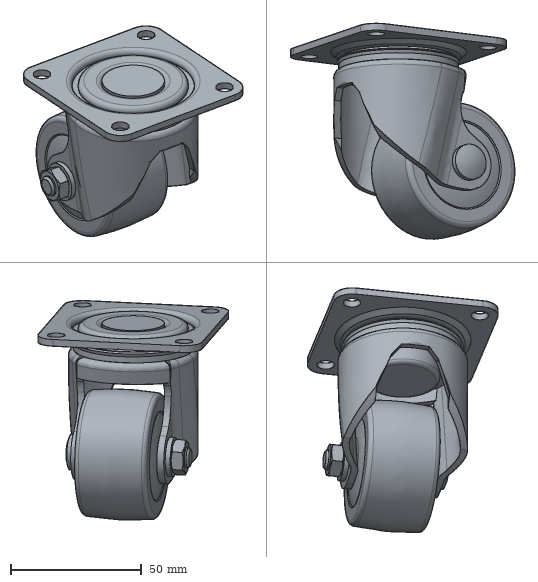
import cadquery as cq
import math

OVERALL_LENGTH = 77.0
OVERALL_HEIGHT = 72.0
PLATE_SIDE = 64.0
WHEEL_RADIUS = 25.0
AXLE_X = PLATE_SIDE / 2 + WHEEL_RADIUS - OVERALL_LENGTH
AXLE_Z = WHEEL_RADIUS - OVERALL_HEIGHT

PLATE_THICKNESS = 2.7
PLATE_CORNER_RADIUS = 7.15
BOLT_HOLE_PITCH = 49.9
BOLT_HOLE_DIAMETER = 6.6
PRESS_RADIUS = 2.15
GROOVE_OUTER_RADIUS = 25.6
GROOVE_INNER_RADIUS = 18.95
GROOVE_DEPTH = 2.6
BULGE_TOP_RADIUS = 26.1
BULGE_SHOULDER_RADIUS = 23.9
BULGE_SHOULDER_Z = -4.4
BULGE_BOTTOM_RADIUS = 22.6
BULGE_BOTTOM_Z = -4.8
PIN_RADIUS = 11.9
PIN_HEAD_RADIUS = 14.25
PIN_HEAD_ROUNDING = 1.55
PIN_BOTTOM_Z = -20.3

NECK_RADIUS = 21.4
NECK_FOOT_RADIUS = 22.25
LIP_RADIUS = 23.4
LIP_TOP_Z = -5.85
LIP_WIDEST_Z = -6.5
LIP_BOTTOM_Z = -7.7
RACE_RADIUS = 22.95

FORK_TOP_Z = -10.1
SHEET = 2.7
FORK_RADIUS = 24.8
FORK_TOP_ROUNDING = 2.5
LEG_OUTER_Y = 18.2
LEG_END_RADIUS = 10.4
LEG_BOTTOM_Z = AXLE_Z - LEG_END_RADIUS
ROOF_Z = FORK_TOP_Z - SHEET
SKIRT_BOTTOM_Z = -18.3
SKIRT_FRONT_X = (-25.65, -23.95)
SKIRT_CORNER_X = (-19.4, -18.3)
BEND_START_X = (-21.95, -10.6)
BEND_MIDDLE_X = (-15.1, -3.8)
BEND_END_X = (-5.2, 7.15)
BEND_MIDDLE_Y = 20.9
BEND_MIDDLE_SLOPE = 0.5
LOFT_STEPS = 4
FORK_REACH_X = -34.65

LEG_FRONT_X = -18.95
BACK_STRAIGHT_END = (FORK_RADIUS, -17.3)
BACK_CORNER = (19.95, -35.7)
BACK_ARC_MIDDLE = (14.3, -43.3)
BACK_ARC_END = (5.5, -50.9)
BOTTOM_ARC_MIDDLE = (-6.5, -55.75)
BOSS_ARC_END = (-24.6, -37.65)
THROAT_START = (-20.8, -34.9)
THROAT_ARC_MIDDLE = (-17.6, -29.8)
THROAT_TOP = (-16.95, -23.9)
SKIRT_ARC_MIDDLE = (-17.25, -21.4)
SKIRT_ARC_END = (-18.2, -19.25)
WINDOW_TOP = (5.4, -18.1)
WINDOW_SHOULDER = (9.2, -22.3)
WINDOW_HALF_WIDTH = 14.25
WINDOW_FULL_WIDTH_Z = BACK_CORNER[1]

TREAD_HALF_WIDTH = 14.1
CROWN_EDGE_RADIUS = 24.3
CROWN_EDGE_Y = 12.3
TREAD_FACE_RADIUS = 22.2
TREAD_ROUND_INSET = 0.55
HUB_RADIUS = 17.4
HUB_RIM_RADIUS = 16.9
HUB_RIM_Y = 13.7
HUB_DOME_RADIUS = 13.85
HUB_DOME_Y = 14.7
HUB_FACE_RADIUS = 9.6
HUB_FACE_Y = 15.1

BOLT_RADIUS = 4.0
BOLT_END_Y = -26.5
BOLT_CHAMFER = 0.9
HEAD_RADIUS = 6.85
HEAD_RIM_Y = 20.4
HEAD_TOP_Y = 21.9
FLANGE_RADIUS = 7.55
FLANGE_THICKNESS = 1.9
NUT_ACROSS_FLATS = 12.0
NUT_END_Y = -24.95
NUT_CHAMFER = 0.55
NUT_CHAMFER_DEPTH = 1.1


def revolve_about_z(profile):
    """Spin a closed (radius, Z) profile about the swivel axis."""
    return profile.close().revolve(360, (0, 0, 0), (0, 1, 0))


def along_axle(profile):
    """Spin a closed (radius, Y) profile about Y and move it onto the wheel axle."""
    return profile.close().revolve(360, (0, 0, 0), (0, 1, 0)).translate((AXLE_X, 0, AXLE_Z))


def axle_cylinder(radius, y_start, y_end):
    return along_axle(
        cq.Workplane("XY").moveTo(0, y_start).lineTo(radius, y_start).lineTo(radius, y_end).lineTo(0, y_end)
    )


def make_plate():
    plate = (
        cq.Workplane("XY").rect(PLATE_SIDE, PLATE_SIDE).extrude(-PLATE_THICKNESS)
        .edges("|Z").fillet(PLATE_CORNER_RADIUS)
    )
    bulge = revolve_about_z(
        cq.Workplane("XZ").moveTo(0, -PLATE_THICKNESS).lineTo(BULGE_TOP_RADIUS, -PLATE_THICKNESS)
        .lineTo(BULGE_SHOULDER_RADIUS, BULGE_SHOULDER_Z)
        .lineTo(BULGE_BOTTOM_RADIUS, BULGE_BOTTOM_Z).lineTo(0, BULGE_BOTTOM_Z)
    )
    shaft = cq.Workplane("XY").circle(PIN_RADIUS).extrude(ROOF_Z)
    head = (
        cq.Workplane("XY").workplane(offset=ROOF_Z).circle(PIN_HEAD_RADIUS).extrude(PIN_BOTTOM_Z - ROOF_Z)
        .faces("<Z").edges().fillet(PIN_HEAD_ROUNDING)
    )
    arc_offset = PRESS_RADIUS * math.sqrt(0.5)
    arc_drop = PRESS_RADIUS - arc_offset
    outer_wall = GROOVE_OUTER_RADIUS - PRESS_RADIUS
    inner_wall = GROOVE_INNER_RADIUS + PRESS_RADIUS
    groove = revolve_about_z(
        cq.Workplane("XZ").moveTo(GROOVE_INNER_RADIUS, 0)
        .threePointArc((GROOVE_INNER_RADIUS + arc_offset, -arc_drop), (inner_wall, -PRESS_RADIUS))
        .lineTo(inner_wall, -GROOVE_DEPTH).lineTo(outer_wall, -GROOVE_DEPTH).lineTo(outer_wall, -PRESS_RADIUS)
        .threePointArc((GROOVE_OUTER_RADIUS - arc_offset, -arc_drop), (GROOVE_OUTER_RADIUS, 0))
    )
    pin_rim = PIN_RADIUS + PRESS_RADIUS
    pin_groove = revolve_about_z(
        cq.Workplane("XZ").moveTo(PIN_RADIUS, 0).lineTo(PIN_RADIUS, -PRESS_RADIUS)
        .threePointArc((pin_rim - arc_offset, -arc_drop), (pin_rim, 0))
    )
    bolt_holes = (
        cq.Workplane("XY").rect(BOLT_HOLE_PITCH, BOLT_HOLE_PITCH, forConstruction=True).vertices()
        .circle(BOLT_HOLE_DIAMETER / 2).extrude(-PLATE_THICKNESS)
    )
    return plate.union(bulge).union(shaft).union(head).cut(groove).cut(pin_groove).cut(bolt_holes)


def fork_section(depth, inset):
    """Plan outline of the fork: flat legs, S-shaped bends, round back.

    The depth is 0 at the top of the fork and 1 at the bottom.
    """
    radius = FORK_RADIUS - inset
    z = FORK_TOP_Z + depth * (LEG_BOTTOM_Z - FORK_TOP_Z)
    start_x, middle_x, end_x = [
        top + depth * (bottom - top) for top, bottom in (BEND_START_X, BEND_MIDDLE_X, BEND_END_X)
    ]
    leg_y = LEG_OUTER_Y - inset
    middle_y = BEND_MIDDLE_Y - inset
    end_y = math.sqrt(radius ** 2 - end_x ** 2)

    def point(x, y):
        return cq.Vector(x, y, z)

    def half_bends(side):
        start, middle, end = [
            point(x, side * y) for x, y in ((start_x, leg_y), (middle_x, middle_y), (end_x, end_y))
        ]
        leg_direction = cq.Vector(1, 0, 0)
        middle_direction = cq.Vector(1, side * BEND_MIDDLE_SLOPE, 0)
        back_direction = cq.Vector(end_y, -side * end_x, 0)
        return [
            cq.Edge.makeSpline([start, middle], tangents=[leg_direction, middle_direction]),
            cq.Edge.makeSpline([middle, end], tangents=[middle_direction, back_direction]),
        ]

    front_left = point(FORK_REACH_X, leg_y)
    front_right = point(FORK_REACH_X, -leg_y)
    back = cq.Edge.makeThreePointArc(point(end_x, end_y), point(radius, 0), point(end_x, -end_y))
    return cq.Wire.assembleEdges([
        cq.Edge.makeLine(front_left, point(start_x, leg_y)),
        *half_bends(1),
        back,
        *reversed(half_bends(-1)),
        cq.Edge.makeLine(point(start_x, -leg_y), front_right),
        cq.Edge.makeLine(front_right, front_left),
    ])


def fork_loft(inset):
    sections = [fork_section(step / LOFT_STEPS, inset) for step in range(LOFT_STEPS + 1)]
    return cq.Workplane(cq.Solid.makeLoft(sections))


def leg_outline():
    """Fork legs seen from the side, from the top front corner round to the axle boss."""
    return (
        cq.Workplane("XZ").moveTo(LEG_FRONT_X, FORK_TOP_Z).lineTo(FORK_RADIUS, FORK_TOP_Z)
        .lineTo(*BACK_STRAIGHT_END).lineTo(*BACK_CORNER)
        .threePointArc(BACK_ARC_MIDDLE, BACK_ARC_END)
        .threePointArc(BOTTOM_ARC_MIDDLE, (AXLE_X, LEG_BOTTOM_Z))
        .threePointArc((AXLE_X - LEG_END_RADIUS, AXLE_Z), BOSS_ARC_END)
        .lineTo(*THROAT_START)
        .threePointArc(THROAT_ARC_MIDDLE, THROAT_TOP)
        .threePointArc(SKIRT_ARC_MIDDLE, SKIRT_ARC_END)
        .close().extrude(2 * FORK_RADIUS, both=True)
    )


def skirt_circle(front_x, corner_x, inset, z):
    """Circle through the skirt's front and its two corners at the legs."""
    rise = corner_x - front_x
    radius = (rise ** 2 + LEG_OUTER_Y ** 2) / (2 * rise)
    return cq.Wire.makeCircle(radius - inset, cq.Vector(front_x + radius, 0, z), cq.Vector(0, 0, 1))


def skirt_body(inset):
    """Round front of the fork head, leaning back towards its lower edge."""
    top = skirt_circle(SKIRT_FRONT_X[0], SKIRT_CORNER_X[0], inset, FORK_TOP_Z)
    bottom = skirt_circle(SKIRT_FRONT_X[1], SKIRT_CORNER_X[1], inset, SKIRT_BOTTOM_Z)
    return cq.Workplane(cq.Solid.makeLoft([top, bottom], True))


def back_window():
    """Opening in the round back, widening downwards between the legs."""
    half_outline = [
        WINDOW_TOP,
        WINDOW_SHOULDER,
        (WINDOW_HALF_WIDTH, WINDOW_FULL_WIDTH_Z),
        (WINDOW_HALF_WIDTH, LEG_BOTTOM_Z),
    ]
    mirrored = [(-y, z) for y, z in reversed(half_outline)]
    return cq.Workplane("YZ").polyline(half_outline + mirrored).close().extrude(2 * FORK_RADIUS)


def make_race():
    return revolve_about_z(
        cq.Workplane("XZ").moveTo(0, FORK_TOP_Z).lineTo(RACE_RADIUS, FORK_TOP_Z)
        .lineTo(RACE_RADIUS, LIP_BOTTOM_Z).lineTo(LIP_RADIUS, LIP_WIDEST_Z)
        .lineTo(RACE_RADIUS, LIP_TOP_Z).lineTo(NECK_FOOT_RADIUS, LIP_TOP_Z)
        .lineTo(NECK_RADIUS, BULGE_BOTTOM_Z).lineTo(0, BULGE_BOTTOM_Z)
    )


def make_fork():
    front_part = cq.Workplane("XY").box(
        -FORK_REACH_X, 2 * LEG_OUTER_Y, -SKIRT_BOTTOM_Z, centered=(False, True, False)
    ).translate((FORK_REACH_X, 0, SKIRT_BOTTOM_Z))
    skirt = skirt_body(0).intersect(front_part)
    outer = fork_loft(0).intersect(leg_outline()).union(skirt)
    outer = outer.faces(">Z").edges().fillet(FORK_TOP_ROUNDING)

    reach = -2 * FORK_REACH_X
    skirt_bottom = cq.Workplane("XY").workplane(offset=SKIRT_BOTTOM_Z)
    below_skirt = skirt_bottom.rect(reach, reach).extrude(LEG_BOTTOM_Z - SKIRT_BOTTOM_Z)
    inside_head = skirt_bottom.rect(reach, reach).extrude(ROOF_Z - SKIRT_BOTTOM_Z)
    inner = fork_loft(SHEET)
    cavity = inner.intersect(below_skirt).union(inner.intersect(inside_head).intersect(skirt_body(SHEET)))

    pin_hole = cq.Workplane("XY").circle(PIN_RADIUS).extrude(ROOF_Z)
    axle_hole = axle_cylinder(BOLT_RADIUS, -LEG_OUTER_Y, LEG_OUTER_Y)
    fork = outer.cut(cavity).cut(back_window()).union(make_race()).cut(pin_hole).cut(axle_hole)

    nut_seat = axle_cylinder(FLANGE_RADIUS, -FORK_RADIUS, -LEG_OUTER_Y)
    head_seat = axle_cylinder(HEAD_RADIUS, LEG_OUTER_Y, FORK_RADIUS)
    return fork.cut(nut_seat).cut(head_seat)


def make_wheel():
    round_middle = (CROWN_EDGE_RADIUS - TREAD_ROUND_INSET, TREAD_HALF_WIDTH - TREAD_ROUND_INSET)
    return along_axle(
        cq.Workplane("XY").moveTo(BOLT_RADIUS, HUB_FACE_Y).lineTo(HUB_FACE_RADIUS, HUB_FACE_Y)
        .threePointArc((HUB_DOME_RADIUS, HUB_DOME_Y), (HUB_RIM_RADIUS, HUB_RIM_Y))
        .lineTo(HUB_RADIUS, TREAD_HALF_WIDTH).lineTo(TREAD_FACE_RADIUS, TREAD_HALF_WIDTH)
        .threePointArc(round_middle, (CROWN_EDGE_RADIUS, CROWN_EDGE_Y))
        .threePointArc((WHEEL_RADIUS, 0), (CROWN_EDGE_RADIUS, -CROWN_EDGE_Y))
        .threePointArc((round_middle[0], -round_middle[1]), (TREAD_FACE_RADIUS, -TREAD_HALF_WIDTH))
        .lineTo(HUB_RADIUS, -TREAD_HALF_WIDTH).lineTo(HUB_RIM_RADIUS, -HUB_RIM_Y)
        .threePointArc((HUB_DOME_RADIUS, -HUB_DOME_Y), (HUB_FACE_RADIUS, -HUB_FACE_Y))
        .lineTo(BOLT_RADIUS, -HUB_FACE_Y)
    )


def make_bolt():
    dome_height = HEAD_TOP_Y - HEAD_RIM_Y
    dome_radius = (HEAD_RADIUS ** 2 + dome_height ** 2) / (2 * dome_height)
    middle_drop = dome_radius - math.sqrt(dome_radius ** 2 - (HEAD_RADIUS / 2) ** 2)
    dome_middle = (HEAD_RADIUS / 2, HEAD_TOP_Y - middle_drop)
    return along_axle(
        cq.Workplane("XY").moveTo(0, BOLT_END_Y).lineTo(BOLT_RADIUS - BOLT_CHAMFER, BOLT_END_Y)
        .lineTo(BOLT_RADIUS, BOLT_END_Y + BOLT_CHAMFER).lineTo(BOLT_RADIUS, LEG_OUTER_Y)
        .lineTo(HEAD_RADIUS, LEG_OUTER_Y).lineTo(HEAD_RADIUS, HEAD_RIM_Y)
        .threePointArc(dome_middle, (0, HEAD_TOP_Y))
    )


def make_nut():
    flange_end_y = -LEG_OUTER_Y - FLANGE_THICKNESS
    flange = axle_cylinder(FLANGE_RADIUS, flange_end_y, -LEG_OUTER_Y)
    across_corners = NUT_ACROSS_FLATS / math.cos(math.pi / 6)
    hexagon = (
        cq.Workplane("XZ").polygon(6, across_corners).extrude(flange_end_y - NUT_END_Y)
        .rotate((0, 0, 0), (0, 1, 0), 30).translate((AXLE_X, flange_end_y, AXLE_Z))
    )
    corner_radius = across_corners / 2
    flat_radius = corner_radius - NUT_CHAMFER_DEPTH
    bevel = along_axle(
        cq.Workplane("XY").moveTo(0, flange_end_y).lineTo(flat_radius, flange_end_y)
        .lineTo(corner_radius, flange_end_y - NUT_CHAMFER).lineTo(corner_radius, NUT_END_Y + NUT_CHAMFER)
        .lineTo(flat_radius, NUT_END_Y).lineTo(0, NUT_END_Y)
    )
    bore = axle_cylinder(BOLT_RADIUS, NUT_END_Y, -LEG_OUTER_Y)
    return flange.union(hexagon.intersect(bevel)).cut(bore)


plate = make_plate()
fork = make_fork()
wheel = make_wheel()
bolt = make_bolt()
nut = make_nut()

result = cq.Compound.makeCompound([plate.val(), fork.val(), wheel.val(), bolt.val(), nut.val()])